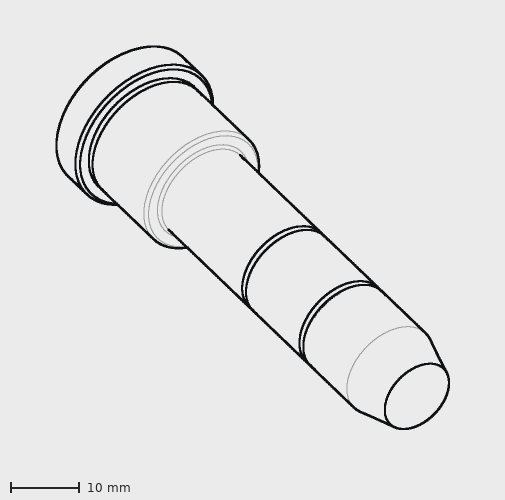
import cadquery as cq
import math

length = 77.0
head_radius = 24.0 / 2
body_radius = 20.0 / 2
shank_radius = 15.0 / 2

head_end = 6.0
body_end = 20.95
tip_start = 69.9

edge_size = 0.5
shank_fillet = 0.5
taper_angle = 15.0

groove_centers = (43.0, 58.0)
groove_radius = 0.5
undercut_center = head_end + groove_radius


def cylinder(start, end, radius):
    """Solid cylinder on the X axis between two axial positions."""
    return cq.Workplane("YZ", origin=(start, 0, 0)).circle(radius).extrude(end - start)


def make_head():
    return cylinder(0, head_end, head_radius).edges("%CIRCLE").chamfer(edge_size)


def make_body():
    return cylinder(head_end, body_end, body_radius).faces(">X").edges().fillet(edge_size)


def make_shank():
    """Shank with a fillet at the body and a tapered lead-in tip."""
    tip_radius = shank_radius - (length - tip_start) * math.tan(math.radians(taper_angle))
    blend_offset = shank_fillet * (1 - math.sqrt(0.5))
    profile = (
        cq.Workplane("XY")
        .moveTo(body_end, 0)
        .lineTo(body_end, shank_radius + shank_fillet)
        .threePointArc(
            (body_end + blend_offset, shank_radius + blend_offset),
            (body_end + shank_fillet, shank_radius),
        )
        .lineTo(tip_start, shank_radius)
        .lineTo(length, tip_radius)
        .lineTo(length, 0)
        .close()
    )
    return profile.revolve(360, (0, 0, 0), (1, 0, 0))


def make_groove(center, surface_radius):
    """Ring that cuts a half-round groove into a cylinder of the given radius."""
    return (
        cq.Workplane("XY")
        .center(center, surface_radius)
        .circle(groove_radius)
        .revolve(360, (0, -surface_radius, 0), (1, -surface_radius, 0))
    )


body = make_body().cut(make_groove(undercut_center, body_radius))

shank = make_shank()
for groove_center in groove_centers:
    shank = shank.cut(make_groove(groove_center, shank_radius))

result = make_head().union(body).union(shank)